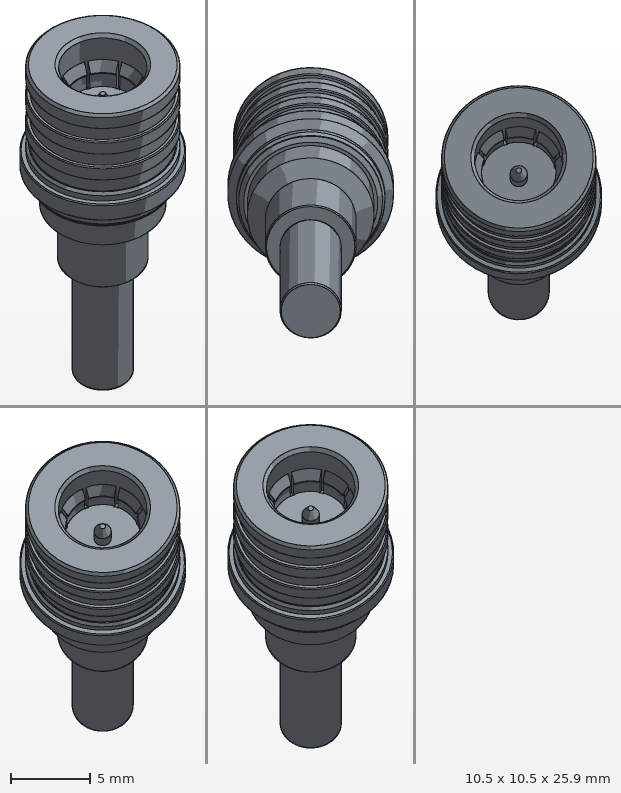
import cadquery as cq

HEIGHT = 25.85

CABLE_RADIUS = 1.95
CABLE_CHAMFER_WIDTH = 0.08
CABLE_CHAMFER_HEIGHT = 0.13
NECK_RADIUS = 2.87
NECK_BOTTOM = 9.55
NECK_CHAMFER = 0.08
SHOULDER_RADIUS = 4.0
SHOULDER_CONE_BOTTOM = 13.52
SHOULDER_CONE_TOP = 14.17

STEP_RADIUS = 4.7
STEP_BEVEL_TOP = 16.55
STEP_LAND_RADIUS = 4.55
STEP_LAND_TOP = 16.35
STEP_LAND_BOTTOM = 16.23
STEP_BOTTOM_RADIUS = 4.25
STEP_BOTTOM = 16.0

FLANGE_RADIUS = 5.25
FLANGE_CONE_BOTTOM = 16.88
FLANGE_BOTTOM = 17.35
FLANGE_TOP = 18.65
FLANGE_CHAMFER = 0.08

SLEEVE_RADIUS = 4.89
SLEEVE_CHAMFER = 0.18
GROOVE_FLOOR_RADIUS = 4.63
GROOVE_COUNT = 3
GROOVE_PITCH = 2.17
GROOVE_HEIGHT = 1.09
TOP_GROOVE_TOP = 24.69
RING_CHAMFER = 0.08

MOUTH_RADIUS = 3.02
BORE_RADIUS = 2.8
BORE_FLOOR = 21.58

FINGER_TOP = 23.8
LIP_RADIUS = 2.35
LIP_TOP = 23.08
LIP_HEIGHT = 0.08
UNDERCUT_RADIUS = 2.5
UNDERCUT_BOTTOM = 22.2
INSERT_FLOOR_RADIUS = 2.43
INSERT_FLOOR = 21.85

SLOT_COUNT = 8
SLOT_WIDTH = 0.23
SLOT_INNER_RADIUS = 2.4

INSERT_OVERLAP = 0.25

PIN_RADIUS = 0.55
PIN_TIP_RADIUS = 0.18
PIN_TIP_LENGTH = 0.65
PIN_TOP = 23.4


def revolve(points):
    """Turn a closed (radius, height) outline a full circle about Z."""
    return cq.Workplane("XZ").polyline(points).close().revolve(360, (0, 0, 0), (0, 1, 0))


def make_outer_body():
    cable_chamfer_radius = CABLE_RADIUS - CABLE_CHAMFER_WIDTH
    return revolve([
        (0, 0),
        (cable_chamfer_radius, 0),
        (CABLE_RADIUS, CABLE_CHAMFER_HEIGHT),
        (CABLE_RADIUS, NECK_BOTTOM - CABLE_CHAMFER_HEIGHT),
        (cable_chamfer_radius, NECK_BOTTOM),
        (NECK_RADIUS - NECK_CHAMFER, NECK_BOTTOM),
        (NECK_RADIUS, NECK_BOTTOM + NECK_CHAMFER),
        (NECK_RADIUS, SHOULDER_CONE_BOTTOM),
        (SHOULDER_RADIUS, SHOULDER_CONE_TOP),
        (SHOULDER_RADIUS, STEP_BOTTOM),
        (STEP_BOTTOM_RADIUS, STEP_BOTTOM),
        (STEP_LAND_RADIUS, STEP_LAND_BOTTOM),
        (STEP_LAND_RADIUS, STEP_LAND_TOP),
        (STEP_RADIUS, STEP_BEVEL_TOP),
        (STEP_RADIUS, FLANGE_CONE_BOTTOM),
        (FLANGE_RADIUS, FLANGE_BOTTOM),
        (FLANGE_RADIUS, FLANGE_TOP - FLANGE_CHAMFER),
        (FLANGE_RADIUS - FLANGE_CHAMFER, FLANGE_TOP),
        (SLEEVE_RADIUS, FLANGE_TOP),
        (SLEEVE_RADIUS, HEIGHT - SLEEVE_CHAMFER),
        (SLEEVE_RADIUS - SLEEVE_CHAMFER, HEIGHT),
        (0, HEIGHT),
    ])


def make_grip_groove(top, lower_chamfer):
    """Ring to cut from the sleeve, breaking the edges of the rings above and below it."""
    bottom = top - GROOVE_HEIGHT
    return revolve([
        (GROOVE_FLOOR_RADIUS, bottom),
        (SLEEVE_RADIUS - lower_chamfer, bottom),
        (SLEEVE_RADIUS, bottom - lower_chamfer),
        (FLANGE_RADIUS, bottom - lower_chamfer),
        (FLANGE_RADIUS, top + RING_CHAMFER),
        (SLEEVE_RADIUS, top + RING_CHAMFER),
        (SLEEVE_RADIUS - RING_CHAMFER, top),
        (GROOVE_FLOOR_RADIUS, top),
    ])


def make_bore():
    mouth_chamfer = MOUTH_RADIUS - BORE_RADIUS
    return revolve([
        (0, BORE_FLOOR),
        (BORE_RADIUS, BORE_FLOOR),
        (BORE_RADIUS, HEIGHT - mouth_chamfer),
        (MOUTH_RADIUS, HEIGHT),
        (0, HEIGHT),
    ])


def make_finger_slots():
    """Radial slots through the insert wall, open from the lead-in cone to the bore floor."""
    slot_length = BORE_RADIUS + INSERT_OVERLAP
    blades = (
        cq.Workplane("XY")
        .workplane(offset=BORE_FLOOR - INSERT_OVERLAP)
        .polarArray(slot_length, 0, 360, SLOT_COUNT)
        .rect(slot_length, SLOT_WIDTH)
        .extrude(HEIGHT - BORE_FLOOR)
    )
    core = cq.Workplane("XY").circle(SLOT_INNER_RADIUS).extrude(INSERT_FLOOR)
    return blades.cut(core)


def make_insert():
    """Slotted spring fingers, the insulator floor inside them and the centre contact pin."""
    bottom = BORE_FLOOR - INSERT_OVERLAP
    outer_radius = BORE_RADIUS + INSERT_OVERLAP
    lip_bottom = LIP_TOP - LIP_HEIGHT
    insert = revolve([
        (0, bottom),
        (outer_radius, bottom),
        (outer_radius, FINGER_TOP),
        (BORE_RADIUS, FINGER_TOP),
        (LIP_RADIUS, LIP_TOP),
        (LIP_RADIUS, lip_bottom),
        (UNDERCUT_RADIUS, lip_bottom),
        (UNDERCUT_RADIUS, UNDERCUT_BOTTOM),
        (INSERT_FLOOR_RADIUS, INSERT_FLOOR),
        (PIN_RADIUS, INSERT_FLOOR),
        (PIN_RADIUS, PIN_TOP - PIN_TIP_LENGTH),
        (PIN_TIP_RADIUS, PIN_TOP),
        (0, PIN_TOP),
    ])
    return insert.cut(make_finger_slots())


body = make_outer_body()
for groove in range(GROOVE_COUNT):
    groove_top = TOP_GROOVE_TOP - groove * GROOVE_PITCH
    is_lowest = groove == GROOVE_COUNT - 1
    body = body.cut(make_grip_groove(groove_top, SLEEVE_CHAMFER if is_lowest else RING_CHAMFER))

result = body.cut(make_bore()).union(make_insert())